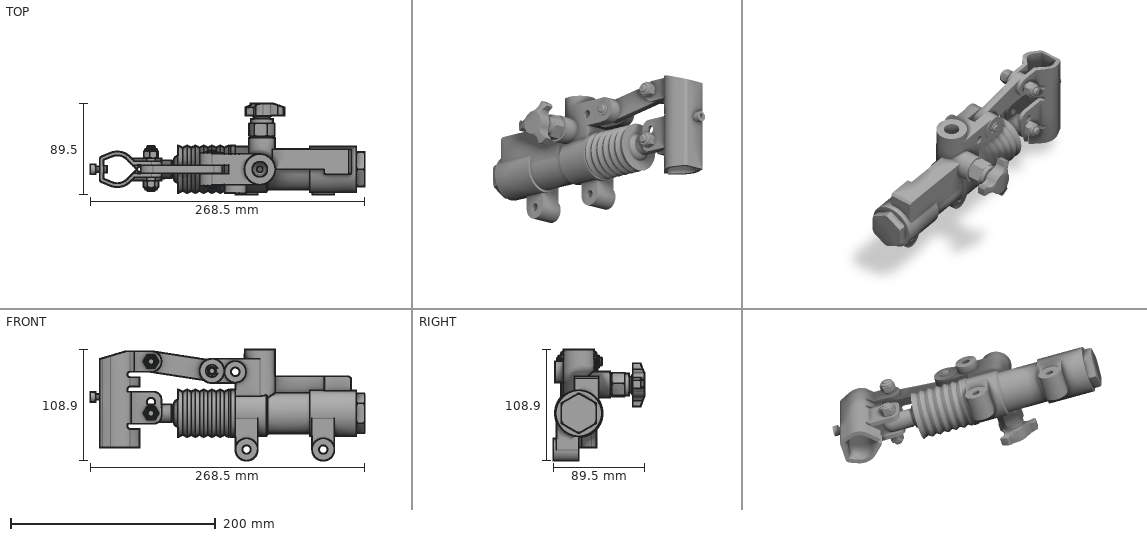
import cadquery as cq
import math


BODY_R = 22.5
BARREL_R = 20.0
FRONT_LEN = 30.2
TAPER_LEN = 1.6
REAR_X = 72.7
BODY_LEN = 118.5

PLUG_FLATS = 34.0
PLUG_LEN = 8.1
PLUG_CHAMFER = 1.0

OUTLET_X = 24.0
OUTLET_R = 15.0
OUTLET_TOP = 62.4
PORT_D = 15.0
PORT_DEPTH = 16.0
PORT_CONE = 4.0
FEED_D = 6.0
FEED_DEPTH = 30.0

PIVOT_X = -22.8
PIVOT_Z = 41.4
PIVOT_BOSS_R = 12.0
PIVOT_BOSS_Y = 16.0
BRACKET_TOP = PIVOT_Z + PIVOT_BOSS_R
SLOT_HALF = 4.2
SLOT_END_X = -6.6
SIDE_BOSS_Z = 40.5
SIDE_BOSS_R = 10.5
SIDE_BOSS_Y = 23.4
SIDE_HOLE_D = 8.19

LUG_R = 11.0
LUG_CENTRES_X = (LUG_R, 86.0)
LUG_Z = -35.45
LUG_FACE_Y = -22.0
LUG_BOSS_Y = -25.0
LUG_HOLE_D = 8.0

HOUSING_X = (35.4, 113.2)
HOUSING_Y = 19.7
HOUSING_TOP = 36.3
HOUSING_STEP_X = 87.0
HOUSING_STEP_Y = -4.6
HOUSING_FILLET = 1.0
HOUSING_END_CHAMFER = (2.4, 2.0)

VALVE_X = 26.0
VALVE_Z = 28.0
VALVE_BOSS_R = 13.0
VALVE_BOSS_Y = 30.7
VALVE_HEX_Y = (32.4, 45.1)
VALVE_HEX_CORNER_R = 12.8
VALVE_HEX_TURN = 5.6
VALVE_HEX_CHAMFER = 0.8
VALVE_COLLAR_R = 11.0
VALVE_COLLAR_Y = 49.3
VALVE_NECK_R = 7.9
VALVE_NECK_Y = 51.3
KNOB_Y = 52.6
KNOB_BACK_R = 10.0
KNOB_TOP_Y = 64.46
KNOB_RIM_DROP = 4.0
KNOB_TOP_R = 11.0
KNOB_TIP_R = 22.3
KNOB_LOBES = 3
KNOB_LOBE = ((16.2, -2.3), (KNOB_TIP_R, -3.6), (KNOB_TIP_R, 4.5), (20.8, 6.5), (15.6, 4.2))
KNOB_RIDGES = ((8.4, 7.9), (1.1, 11.5))
KNOB_GRIP_BOW = (-0.9, 0.6, -0.9)

BOOT_FRONT_X = -56.1
BOOT_R = 23.4
BOOT_VALLEY_R = 21.2
BOOT_BAND_LEN = 4.2
BOOT_PITCH = 8.1
BOOT_FIRST_CREST_X = -47.1
BOOT_CRESTS = 6
BOOT_NOSE_X = -60.3
BOOT_NOSE_R = 9.8
BOOT_NOSE_BASE_R = 13.4
BOOT_NOSE_MID = (-58.9, 11.8)

ROD_R = 9.0
ROD_STEP_X = -61.4
ROD_CHAMFER = 1.0
ROD_NECK_R = 6.5
ROD_FLAT_HALF = 7.0

PLATE = 4.0
SOCKET_X = -132.7
SOCKET_CENTRE_X = -115.4
SOCKET_R = 17.5
SOCKET_SLOPE_X = -122.0
SOCKET_CORNER_FILLET = 4.0
SOCKET_TOP = 60.8
SOCKET_BOTTOM = -33.6
SOCKET_FRONT_TOP = 53.1
SOCKET_LEVEL_X = -106.7
NOTCHES_Z = ((35.3, 40.5), (21.2, 26.0), (-15.2, -10.4))
NOTCH_END_X = -105.2
NOTCH_CORNER = 2.2
LOWER_EAR_CORNER = 8.0
LINK_HALF = 4.0
EAR_END_X = -72.1
WALL_END_GAP = 0.1

PIN_X = -82.4
LINK_PIN_Z = 50.6
LINK_R = 10.2
PIN_R = 4.0
PIN_TIP_CHAMFER = 1.0
SPARE_HOLE_D = 7.9
SPARE_HOLE_Z = 11.0
NUT_FLATS = 13.0
NUT_START_Y = ROD_FLAT_HALF + PLATE
NUT_LEN = 6.8
NUT_COLLAR_R = 6.25
NUT_COLLAR_LEN = 2.2
NUT_CHAMFER = 0.8
BACK_NUT_TURN = 19.0
PIN_ENDS_Y = (-21.4, 22.8)
PIVOT_PIN_END_Y = 18.8
PIVOT_GROOVE_Y = (16.4, 17.4)
CLIP_R = 6.0
CLIP_GAP = 5.0
GROOVE_R = 3.0

SCREW_Z = 16.0
SCREW_END_X = (-141.91, -125.2)
SCREW_HEAD_R = 5.0
SCREW_HEAD_LEN = 5.3
SCREW_R = 3.0
SCREW_TIP_R = 3.5
SCREW_SOCKET_D = 5.0
SCREW_SOCKET_DEPTH = 3.0


def box(x0, x1, y0, y1, z0, z1):
    """Box between two corners."""
    size = cq.Workplane("XY").box(x1 - x0, y1 - y0, z1 - z0, centered=False)
    return size.translate((x0, y0, z0))


def rod_x(radius, x0, x1, z=0.0):
    """Cylinder along X."""
    return cq.Workplane("YZ").center(0, z).circle(radius).extrude(x1 - x0).translate((x0, 0, 0))


def rod_y(radius, x, z, y0, y1):
    """Cylinder along Y, from y0 to y1."""
    blank = cq.Workplane("XZ").center(x, z).circle(radius).extrude(y0 - y1)
    return blank.translate((0, y0, 0))


def corner_radius(flats):
    return flats / math.sqrt(3)


def bevelled_hex(corner_r, length, chamfer, turn=0.0):
    """Hexagonal prism along +Z whose corners are bevelled at both ends."""
    prism = cq.Workplane("XY").polygon(6, 2 * corner_r).extrude(length)
    prism = prism.rotate((0, 0, 0), (0, 0, 1), turn)
    envelope = cq.Workplane("XY").circle(corner_r).extrude(length).edges().chamfer(chamfer)
    return prism.intersect(envelope)


def make_body():
    profile = [
        (0, 0),
        (0, BODY_R),
        (FRONT_LEN, BODY_R),
        (FRONT_LEN + TAPER_LEN, BARREL_R),
        (REAR_X, BARREL_R),
        (REAR_X, BODY_R),
        (BODY_LEN, BODY_R),
        (BODY_LEN, 0),
    ]
    body = cq.Workplane("XY").polyline(profile).close().revolve(360, (0, 0, 0), (1, 0, 0))
    for x in LUG_CENTRES_X:
        body = body.union(make_lug(x))
    return body


def make_lug(x):
    lug = box(x - LUG_R, x + LUG_R, LUG_FACE_Y, 0, LUG_Z, -math.sqrt(BODY_R**2 - LUG_FACE_Y**2))
    return lug.union(rod_y(LUG_R, x, LUG_Z, LUG_BOSS_Y, 0))


def make_plug():
    plug = bevelled_hex(corner_radius(PLUG_FLATS), PLUG_LEN, PLUG_CHAMFER)
    return plug.rotate((0, 0, 0), (0, 1, 0), 90).translate((BODY_LEN, 0, 0))


def make_outlet():
    return cq.Workplane("XY").center(OUTLET_X, 0).circle(OUTLET_R).extrude(OUTLET_TOP)


def make_port():
    """Outlet port: counterbore with a conical floor that leads into a narrow feed hole."""
    profile = [
        (0, 0),
        (PORT_D / 2, 0),
        (PORT_D / 2, -PORT_DEPTH),
        (FEED_D / 2, -PORT_DEPTH - PORT_CONE),
        (FEED_D / 2, -FEED_DEPTH),
        (0, -FEED_DEPTH),
    ]
    port = cq.Workplane("XZ").polyline(profile).close().revolve(360, (0, 0, 0), (0, 1, 0))
    return port.translate((OUTLET_X, 0, OUTLET_TOP))


def make_bracket():
    arm_bottom = PIVOT_Z - PIVOT_BOSS_R
    bracket = box(PIVOT_X, 0, -OUTLET_R, OUTLET_R, arm_bottom, BRACKET_TOP)
    bracket = bracket.union(box(0, OUTLET_X, -OUTLET_R, OUTLET_R, 0, BRACKET_TOP))
    bracket = bracket.union(rod_y(PIVOT_BOSS_R, PIVOT_X, PIVOT_Z, -PIVOT_BOSS_Y, PIVOT_BOSS_Y))
    bracket = bracket.union(rod_y(SIDE_BOSS_R, 0, SIDE_BOSS_Z, -SIDE_BOSS_Y, 0))
    slot_start_x = PIVOT_X - PIVOT_BOSS_R
    return bracket.cut(box(slot_start_x, SLOT_END_X, -SLOT_HALF, SLOT_HALF, arm_bottom, BRACKET_TOP))


def make_housing():
    x0, x1 = HOUSING_X
    housing = box(x0, x1, 0, HOUSING_Y, 0, HOUSING_TOP)
    housing = housing.union(box(HOUSING_STEP_X, x1, HOUSING_STEP_Y, HOUSING_Y, 0, HOUSING_TOP))
    housing = housing.edges("|Z and (not <X)").fillet(HOUSING_FILLET)
    run, drop = HOUSING_END_CHAMFER
    bevel = cq.Workplane("XZ").moveTo(x1 - run, HOUSING_TOP).lineTo(x1, HOUSING_TOP)
    bevel = bevel.lineTo(x1, HOUSING_TOP - drop).close().extrude(HOUSING_Y - HOUSING_STEP_Y, both=True)
    return housing.cut(bevel)


def make_valve():
    """Valve built along +Z and then turned to +Y, which carries the local +Y side to -Z."""
    hex_start, hex_end = VALVE_HEX_Y
    stem = cq.Workplane("XY").circle(VALVE_BOSS_R).extrude(VALVE_BOSS_Y)
    profile = [
        (0, 0),
        (VALVE_COLLAR_R, 0),
        (VALVE_COLLAR_R, VALVE_COLLAR_Y),
        (VALVE_NECK_R, VALVE_COLLAR_Y),
        (VALVE_NECK_R, VALVE_NECK_Y),
        (KNOB_BACK_R, KNOB_Y),
        (0, KNOB_Y),
    ]
    stem = stem.union(cq.Workplane("XZ").polyline(profile).close().revolve(360, (0, 0, 0), (0, 1, 0)))
    nut = bevelled_hex(VALVE_HEX_CORNER_R, hex_end - hex_start, VALVE_HEX_CHAMFER, -VALVE_HEX_TURN)
    stem = stem.union(nut.translate((0, 0, hex_start)))
    stem = stem.union(make_knob().mirror("XZ").translate((0, 0, KNOB_Y)))
    return stem.rotate((0, 0, 0), (1, 0, 0), -90).translate((VALVE_X, 0, VALVE_Z))


def make_knob():
    """Star knob along +Z with its first lobe on +X and a cone-shaped front."""
    height = KNOB_TOP_Y - KNOB_Y
    pitch = math.radians(360 / KNOB_LOBES)

    def turned(point, angle):
        """Point turned counter-clockwise about the knob axis."""
        x, y = point
        return (x * math.cos(angle) - y * math.sin(angle), x * math.sin(angle) + y * math.cos(angle))

    outline = cq.Workplane("XY").moveTo(*KNOB_LOBE[0])
    for i in range(KNOB_LOBES):
        for corner in KNOB_LOBE[1:]:
            outline = outline.lineTo(*turned(corner, i * pitch))
        grip_ends = (*KNOB_RIDGES, turned(KNOB_LOBE[0], pitch))
        for end, bow in zip(grip_ends, KNOB_GRIP_BOW):
            outline = outline.sagittaArc(turned(end, i * pitch), -bow)
    knob = outline.close().extrude(height)
    rim_r = math.hypot(KNOB_TIP_R, max(y for _, y in KNOB_LOBE))
    drop = KNOB_RIM_DROP * (rim_r - KNOB_TOP_R) / (KNOB_TIP_R - KNOB_TOP_R)
    envelope = [(0, 0), (rim_r, 0), (rim_r, height - drop), (KNOB_TOP_R, height), (0, height)]
    cone = cq.Workplane("XZ").polyline(envelope).close().revolve(360, (0, 0, 0), (0, 1, 0))
    return knob.intersect(cone)


def make_boot():
    half = BOOT_PITCH / 2
    band_x = -BOOT_BAND_LEN
    boot = cq.Workplane("XY").moveTo(BOOT_NOSE_X, 0).lineTo(BOOT_NOSE_X, BOOT_NOSE_R)
    boot = boot.threePointArc(BOOT_NOSE_MID, (BOOT_FRONT_X, BOOT_NOSE_BASE_R))
    boot = boot.lineTo(BOOT_FRONT_X, BOOT_R)
    for i in range(BOOT_CRESTS):
        crest_x = BOOT_FIRST_CREST_X + i * BOOT_PITCH
        boot = boot.lineTo(crest_x - half, BOOT_VALLEY_R).lineTo(crest_x, BOOT_R)
    last_crest_x = BOOT_FIRST_CREST_X + (BOOT_CRESTS - 1) * BOOT_PITCH
    fold = (BOOT_R - BOOT_VALLEY_R) * (band_x - last_crest_x) / half
    boot = boot.lineTo(band_x, BOOT_R - fold).lineTo(band_x, BOOT_R).lineTo(0, BOOT_R).lineTo(0, 0)
    return boot.close().revolve(360, (0, 0, 0), (1, 0, 0))


def make_rod():
    """Piston rod with a flattened, rounded eye at the pin."""
    rod = rod_x(ROD_R, PIN_X, ROD_STEP_X).faces(">X").edges().chamfer(ROD_CHAMFER)
    rod = rod.union(cq.Workplane("XY").sphere(ROD_R).translate((PIN_X, 0, 0)))
    for side in (-1, 1):
        y0, y1 = sorted((side * ROD_FLAT_HALF, side * 2 * ROD_R))
        rod = rod.cut(box(PIN_X - ROD_R, EAR_END_X, y0, y1, -ROD_R, ROD_R))
    return rod.union(rod_x(ROD_NECK_R, ROD_STEP_X, 0))


def socket_half(ear_y):
    """Outline of the +Y half of the plate: half tube, 45 degree neck and an ear with inner face ear_y.

    With ear_y set to None the neck runs straight on and stops just short of the mid-plane.
    """
    cx = SOCKET_CENTRE_X
    inner_r = SOCKET_R - PLATE
    lean = math.asin((cx - SOCKET_SLOPE_X) / SOCKET_R)
    diag = math.sqrt(0.5)

    def on_arc(radius, angle):
        """Point on the tube arc; the angle is measured from +Y toward +X."""
        return (cx + radius * math.sin(angle), radius * math.cos(angle))

    def neck_x(radius, y):
        """X where the 45 degree tangent of the arc reaches height y."""
        return cx + radius / diag - y

    def slope_y(radius, x):
        """Y of the sloped front wall at x."""
        return (radius + (x - cx) * math.sin(lean)) / math.cos(lean)

    if ear_y is None:
        tip_in = (neck_x(inner_r, WALL_END_GAP), WALL_END_GAP)
        tip_out = (tip_in[0] + PLATE * diag, tip_in[1] + PLATE * diag)
        outer_end = [tip_out]
        inner_end = [tip_in]
    else:
        outer_y = ear_y + PLATE
        outer_end = [(EAR_END_X, outer_y), (neck_x(SOCKET_R, outer_y), outer_y)]
        inner_end = [(neck_x(inner_r, ear_y), ear_y), (EAR_END_X, ear_y)]

    inner_x = SOCKET_X + PLATE
    outline = cq.Workplane("XY").moveTo(SOCKET_X, 0)
    outline = outline.lineTo(SOCKET_X, slope_y(SOCKET_R, SOCKET_X)).lineTo(*on_arc(SOCKET_R, -lean))
    outline = outline.threePointArc(on_arc(SOCKET_R, 0), on_arc(SOCKET_R, math.pi / 4))
    for point in reversed(outer_end):
        outline = outline.lineTo(*point)
    for point in reversed(inner_end):
        outline = outline.lineTo(*point)
    outline = outline.lineTo(*on_arc(inner_r, math.pi / 4))
    outline = outline.threePointArc(on_arc(inner_r, 0), on_arc(inner_r, -lean))
    return outline.lineTo(inner_x, slope_y(inner_r, inner_x)).lineTo(inner_x, 0).close()


def socket_band(ear_y, z0, z1):
    """Both halves of the socket between two heights."""
    half = socket_half(ear_y).extrude(z1 - z0).translate((0, 0, z0))
    band = half.union(half.mirror("XZ"))
    return band.edges("|Z and <X").fillet(SOCKET_CORNER_FILLET)


def notch(z0, z1):
    """Cutter for a notch that frees one ear from the next."""
    cutter = box(NOTCH_END_X, EAR_END_X, -SOCKET_R, SOCKET_R, z0, z1)
    return cutter.edges("|Y and <X").fillet(NOTCH_CORNER)


def make_socket():
    top_notch, middle_notch, low_notch = [(z0 + z1) / 2 for z0, z1 in NOTCHES_Z]
    upper = socket_band(LINK_HALF, top_notch, SOCKET_TOP)
    upper_mid = (SOCKET_TOP + NOTCHES_Z[0][1]) / 2
    ear_r = (SOCKET_TOP - NOTCHES_Z[0][1]) / 2
    ear_keep = box(SOCKET_X, EAR_END_X - ear_r, -SOCKET_R, SOCKET_R, top_notch, SOCKET_TOP)
    ear_keep = ear_keep.union(rod_y(ear_r, EAR_END_X - ear_r, upper_mid, -SOCKET_R, SOCKET_R))
    socket = upper.intersect(ear_keep)

    socket = socket.union(socket_band(None, middle_notch, top_notch))

    ear_bottom = NOTCHES_Z[2][1]
    ear_top = NOTCHES_Z[1][0]
    lower = socket_band(ROD_FLAT_HALF, low_notch, middle_notch)
    corner_trim = box(NOTCH_END_X, EAR_END_X, -SOCKET_R, SOCKET_R, ear_bottom, ear_top)
    corner_trim = corner_trim.edges("|Y and >X").fillet(LOWER_EAR_CORNER)
    tube_zone = box(SOCKET_X, NOTCH_END_X, -SOCKET_R, SOCKET_R, low_notch, middle_notch)
    socket = socket.union(lower.intersect(corner_trim.union(tube_zone)))

    socket = socket.union(socket_band(None, SOCKET_BOTTOM, low_notch))
    for z0, z1 in NOTCHES_Z:
        socket = socket.cut(notch(z0, z1))

    slope = cq.Workplane("XZ").moveTo(SOCKET_X, SOCKET_FRONT_TOP).lineTo(SOCKET_LEVEL_X, SOCKET_TOP)
    slope = slope.lineTo(SOCKET_X, SOCKET_TOP).close().extrude(SOCKET_R, both=True)
    spare = rod_y(SPARE_HOLE_D / 2, PIN_X, SPARE_HOLE_Z, -SOCKET_R, SOCKET_R)
    return socket.cut(slope).cut(spare)


def make_link():
    run = PIVOT_X - PIN_X
    drop = PIVOT_Z - LINK_PIN_Z
    length = math.hypot(run, drop)
    link = cq.Workplane("XZ").center(length / 2, 0).slot2D(length + 2 * LINK_R, 2 * LINK_R)
    link = link.extrude(LINK_HALF, both=True)
    link = link.rotate((0, 0, 0), (0, 1, 0), -math.degrees(math.atan2(drop, run)))
    return link.translate((PIN_X, 0, LINK_PIN_Z))


def make_stud(z):
    """Threaded pin across the ears with a lock nut at each end."""
    stud = rod_y(PIN_R, PIN_X, z, *PIN_ENDS_Y).edges().chamfer(PIN_TIP_CHAMFER)
    nut = bevelled_hex(corner_radius(NUT_FLATS), NUT_LEN, NUT_CHAMFER)
    collar = cq.Workplane("XY").circle(NUT_COLLAR_R).extrude(NUT_LEN + NUT_COLLAR_LEN)
    nut = nut.union(collar.faces(">Z").edges().chamfer(NUT_CHAMFER))
    nut = nut.translate((0, 0, NUT_START_Y))
    front_nut = nut.rotate((0, 0, 0), (1, 0, 0), 90)
    back_nut = nut.rotate((0, 0, 0), (0, 0, 1), BACK_NUT_TURN).rotate((0, 0, 0), (1, 0, 0), -90)
    for fitted_nut in (front_nut, back_nut):
        stud = stud.union(fitted_nut.translate((PIN_X, 0, z)))
    return stud


def make_pivot_pin():
    """Plain pivot pin held by an open clip in a groove at each end."""
    pin = rod_y(PIN_R, PIVOT_X, PIVOT_Z, -PIVOT_PIN_END_Y, PIVOT_PIN_END_Y)
    pin = pin.edges().chamfer(PIN_TIP_CHAMFER)
    for side in (-1, 1):
        y0, y1 = sorted(side * y for y in PIVOT_GROOVE_Y)
        clip = rod_y(CLIP_R, PIVOT_X, PIVOT_Z, y0, y1)
        gap_z = (PIVOT_Z - CLIP_GAP / 2, PIVOT_Z + CLIP_GAP / 2)
        gap = box(PIVOT_X, PIVOT_X + CLIP_R, y0, y1, *gap_z)
        gap = gap.cut(rod_y(GROOVE_R, PIVOT_X, PIVOT_Z, y0, y1))
        pin = pin.union(clip).cut(gap)
    return pin


def make_screw():
    x0, x1 = SCREW_END_X
    screw = rod_x(SCREW_HEAD_R, x0, x0 + SCREW_HEAD_LEN, SCREW_Z)
    screw = screw.union(rod_x(SCREW_R, x0, x1, SCREW_Z))
    screw = screw.union(rod_x(SCREW_TIP_R, SOCKET_X, x1, SCREW_Z))
    return screw.cut(rod_x(SCREW_SOCKET_D / 2, x0, x0 + SCREW_SOCKET_DEPTH, SCREW_Z))


def cross_hole(diameter, x, z):
    """Cutter for a hole parallel to Y through the whole body."""
    return rod_y(diameter / 2, x, z, -2 * BODY_R, 2 * BODY_R)


def make_pump():
    pump = make_body()
    for section in (make_housing(), make_outlet(), make_bracket(), make_valve(), make_plug()):
        pump = pump.union(section)
    pump = pump.cut(make_port())
    pump = pump.cut(cross_hole(SIDE_HOLE_D, 0, SIDE_BOSS_Z))
    for x in LUG_CENTRES_X:
        pump = pump.cut(cross_hole(LUG_HOLE_D, x, LUG_Z))
    return pump


def make_linkage():
    linkage = make_socket()
    studs = (make_stud(0), make_stud(LINK_PIN_Z))
    for piece in (make_screw(), make_rod(), make_link(), *studs, make_pivot_pin()):
        linkage = linkage.union(piece)
    return linkage


result = make_pump().union(make_boot()).union(make_linkage())